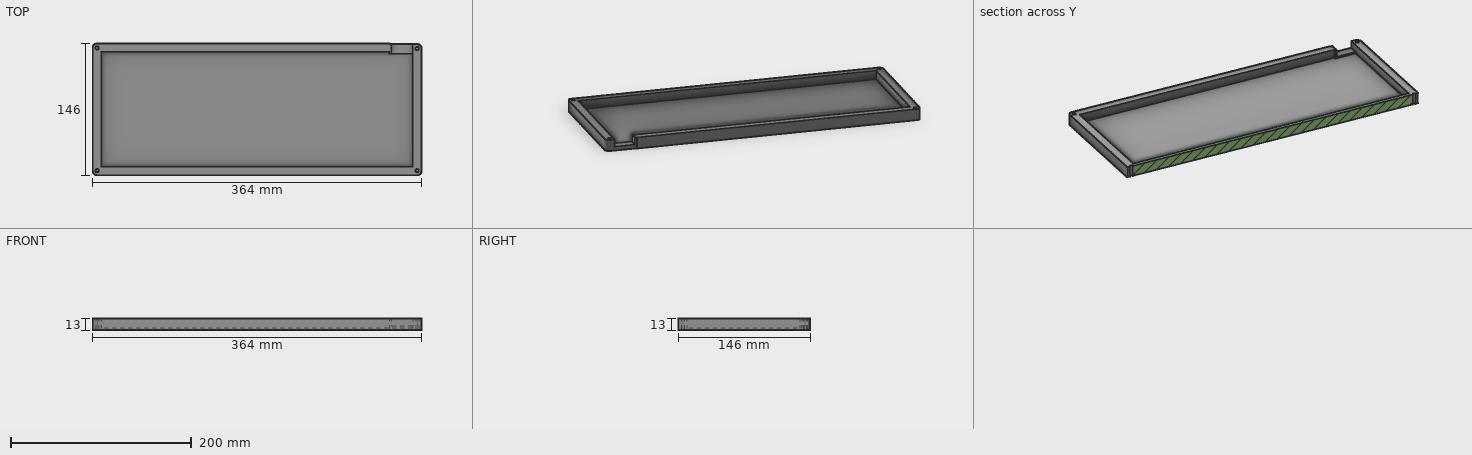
import cadquery as cq

length = 364.0
width = 146.0
height = 13.0
corner_radius = 5.0

side_wall = 9.5
end_wall = 10.0
floor_thickness = 3.0

hole_diameter = 3.4

setback = 0.7
back_wall_thickness = 11.0
notch_length = 23.5
notch_post = 2.2
notch_floor = 4.7

x_end = length / 2
y_side = width / 2
x_pocket = x_end - end_wall
y_pocket = y_side - side_wall
x_notch = x_pocket - notch_length
x_setback = x_notch - notch_post
y_setback = y_side - setback
y_setback_inner = y_setback - back_wall_thickness


def block(x_min, x_max, y_min, y_max, z_min, z_max):
    """Axis-aligned box given by its limits."""
    box = cq.Workplane("XY").box(x_max - x_min, y_max - y_min, z_max - z_min, centered=False)
    return box.translate((x_min, y_min, z_min))


body = block(-x_end, x_end, -y_side, y_side, 0, height)
body = body.cut(block(x_setback, x_end, y_setback, y_side, 0, height))
body = body.edges("(|Z and <X) or (|Z and >X)").fillet(corner_radius)

pocket = block(-x_pocket, x_pocket, -y_pocket, y_pocket, floor_thickness, height)
pocket = pocket.cut(block(x_setback, x_pocket, y_setback_inner, y_pocket, 0, height))
body = body.cut(pocket)

body = body.cut(block(x_notch, x_pocket, y_setback_inner, y_side, notch_floor, height))

x_hole = x_end - corner_radius
y_hole = y_side - corner_radius
hole_centres = [
    (-x_hole, -y_hole),
    (x_hole, -y_hole),
    (-x_hole, y_hole),
    (x_hole, y_hole - setback),
]
holes = cq.Workplane("XY").pushPoints(hole_centres).circle(hole_diameter / 2).extrude(height)

result = body.cut(holes)